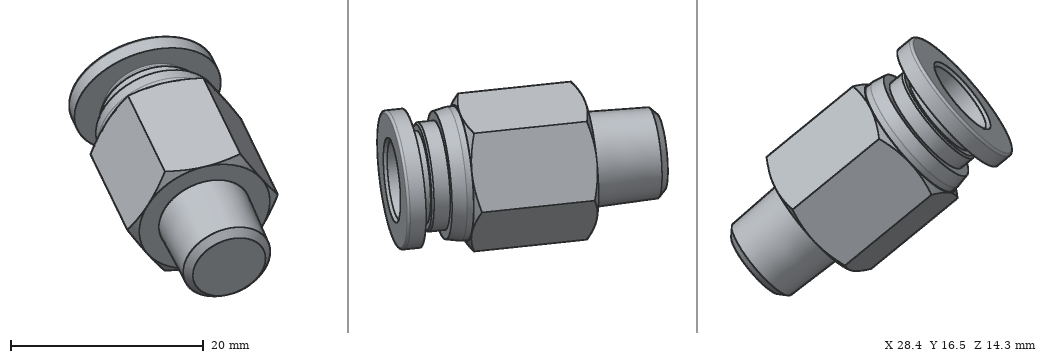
import cadquery as cq
import math


flange_width = 16.02
flange_height = 14.0
flange_length = 2.0
flange_rounding = 0.28
neck_diameter = 9.7
neck_fillet = 0.15
bore_diameter = 8.2
bore_chamfer = 0.35
ring_start = 3.1
ring_diameter = 11.45
ring_chamfer = 0.2
sleeve_length = 5.0

overall_length = 28.4
collar_start = sleeve_length
collar_straight_start = 6.5
hex_start = 7.2
hex_end = 20.42
bore_end = (hex_start + hex_end) / 2

collar_front_diameter = 13.38
collar_diameter = 14.0
hex_across_flats = 14.29
hex_chamfer_angle = 30.0
spigot_end_chamfer = 0.8
spigot_root_diameter = 10.0
spigot_tip_diameter = 9.55

hex_across_corners = hex_across_flats / math.cos(math.radians(30))
corner_height = (hex_across_corners - hex_across_flats) / 2
corner_chamfer_length = corner_height * math.tan(math.radians(hex_chamfer_angle))


def section_at(x):
    """Workplane across the axis at x, facing +X, with local x along Y."""
    return cq.Workplane("YZ", origin=(x, 0, 0))


def cylinder(diameter, start, end):
    """Solid cylinder on the X axis."""
    return section_at(start).circle(diameter / 2).extrude(end - start)


def revolve_outline(points):
    """Turn a closed (x, radius) outline about the X axis."""
    return cq.Workplane("XY").polyline(points).close().revolve(360, (0, 0), (1, 0))


def make_sleeve():
    """Oval push flange, narrow neck and wider rear ring with a through bore."""
    flange = section_at(0).ellipse(flange_width / 2, flange_height / 2).extrude(flange_length)
    flange = flange.faces("<X").edges().fillet(flange_rounding)
    neck = cylinder(neck_diameter, flange_length, ring_start)
    ring = cylinder(ring_diameter, ring_start, sleeve_length)
    ring = ring.faces("<X").edges().chamfer(ring_chamfer)
    sleeve = flange.union(neck).union(ring)
    neck_corner = cq.selectors.BoxSelector(
        (flange_length - neck_fillet, -neck_diameter, -neck_diameter),
        (flange_length + neck_fillet, neck_diameter, neck_diameter),
    )
    sleeve = sleeve.edges(neck_corner).edges("%CIRCLE").fillet(neck_fillet)
    sleeve = sleeve.cut(cylinder(bore_diameter, 0, sleeve_length))
    return sleeve.faces("<X").edges("%CIRCLE").chamfer(bore_chamfer)


def make_hexagon():
    """Hexagonal prism with flats on top and bottom and turned corners at both ends."""
    flat_radius = hex_across_flats / 2
    corner_radius = hex_across_corners / 2
    prism = section_at(hex_start).polygon(6, hex_across_corners).extrude(hex_end - hex_start)
    turned_envelope = revolve_outline([
        (hex_start, 0),
        (hex_start, flat_radius),
        (hex_start + corner_chamfer_length, corner_radius),
        (hex_end - corner_chamfer_length, corner_radius),
        (hex_end, flat_radius),
        (hex_end, 0),
    ])
    return prism.intersect(turned_envelope)


def make_collar():
    """Collar in front of the hexagon, tapered towards its front face."""
    return revolve_outline([
        (collar_start, 0),
        (collar_start, collar_front_diameter / 2),
        (collar_straight_start, collar_diameter / 2),
        (hex_start, collar_diameter / 2),
        (hex_start, 0),
    ])


def make_spigot():
    """Tapered spigot with a chamfered tip."""
    tip_radius = spigot_tip_diameter / 2
    return revolve_outline([
        (hex_end, 0),
        (hex_end, spigot_root_diameter / 2),
        (overall_length - spigot_end_chamfer, tip_radius),
        (overall_length, tip_radius - spigot_end_chamfer),
        (overall_length, 0),
    ])


def make_housing():
    """Housing with a blind bore that continues the bore of the sleeve."""
    housing = make_hexagon().union(make_collar()).union(make_spigot())
    return housing.cut(cylinder(bore_diameter, collar_start, bore_end))


sleeve = make_sleeve()
housing = make_housing()

result = cq.Compound.makeCompound([sleeve.solids().val(), housing.solids().val()])